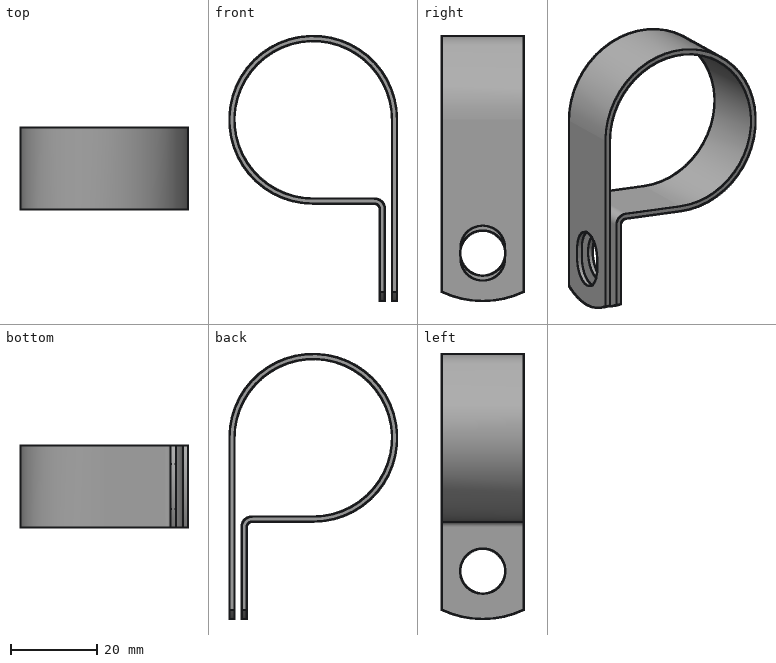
import cadquery as cq
import math

height = 61.5
width = 19.05
thickness = 1.2
loop_diameter = 38.95
tab_gap = 1.6
bend_inner_radius = 1.2
hole_diameter = 10.4
slot_length = 12.75
hole_height = 11.15
tip_sagitta = 2.15

loop_radius = loop_diameter / 2
bore_radius = loop_radius - thickness
bend_outer_radius = bend_inner_radius + thickness
bottom = loop_radius - height
short_tab_right = bore_radius - tab_gap
short_tab_left = short_tab_right - thickness
gap_middle = bore_radius - tab_gap / 2
bend_x = short_tab_left - bend_inner_radius
bend_z = -loop_radius - bend_inner_radius
diagonal = math.sqrt(0.5)


def make_strip():
    """Bent strip: long tab, three-quarter loop, flat ledge and short tab."""
    return (
        cq.Workplane("XZ")
        .moveTo(loop_radius, bottom)
        .lineTo(loop_radius, 0)
        .threePointArc((-loop_radius * diagonal, loop_radius * diagonal), (0, -loop_radius))
        .lineTo(bend_x, -loop_radius)
        .threePointArc(
            (bend_x + bend_inner_radius * diagonal, bend_z + bend_inner_radius * diagonal),
            (short_tab_left, bend_z),
        )
        .lineTo(short_tab_left, bottom)
        .lineTo(short_tab_right, bottom)
        .lineTo(short_tab_right, bend_z)
        .threePointArc(
            (bend_x + bend_outer_radius * diagonal, bend_z + bend_outer_radius * diagonal),
            (bend_x, -bore_radius),
        )
        .lineTo(0, -bore_radius)
        .threePointArc((-bore_radius * diagonal, bore_radius * diagonal), (bore_radius, 0))
        .lineTo(bore_radius, bottom)
        .close()
        .extrude(width / 2, both=True)
    )


def make_side_outline():
    """Solid along X whose lower edge is the arc that rounds both tab tips."""
    return (
        cq.Workplane("YZ")
        .moveTo(-width / 2, loop_radius)
        .lineTo(-width / 2, bottom + tip_sagitta)
        .threePointArc((0, bottom), (width / 2, bottom + tip_sagitta))
        .lineTo(width / 2, loop_radius)
        .close()
        .extrude(loop_radius, both=True)
    )


def make_hole():
    """Round bolt hole through the short tab, ending midway in the gap."""
    return (
        cq.Workplane("YZ")
        .center(0, bottom + hole_height)
        .circle(hole_diameter / 2)
        .extrude(gap_middle)
    )


def make_slot():
    """Upright bolt slot through the long tab, starting midway in the gap."""
    return (
        cq.Workplane("YZ", origin=(gap_middle, 0, 0))
        .center(0, bottom + hole_height)
        .slot2D(slot_length, hole_diameter, 90)
        .extrude(loop_radius - gap_middle)
    )


result = make_strip().intersect(make_side_outline()).cut(make_hole()).cut(make_slot())